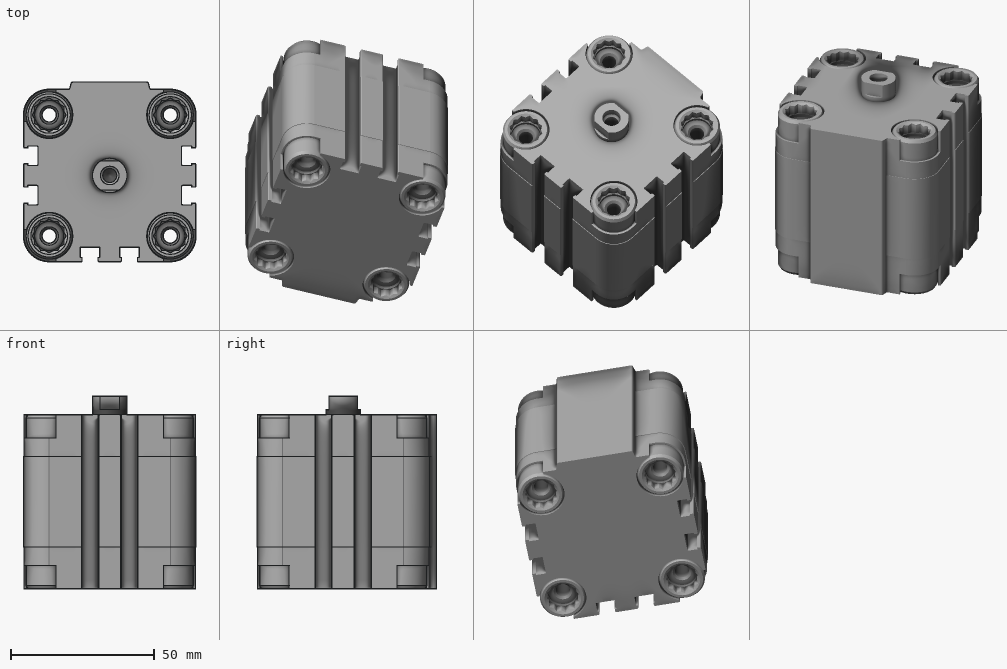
import cadquery as cq
import math

housing_height = 60.5
cap_height = 14.55
tube_height = housing_height - 2 * cap_height

tube_half = 30.0
cap_inset = 0.2
cap_half = tube_half - cap_inset
post_offset = 21.05

back_y = 32.5
pad_top_half = 13.3
pad_foot_half = 14.0
pad_fillet = 0.7

slot_offset = 6.85
slot_mouth_width = 5.5
slot_inner_width = 6.7
slot_floor = 25.0
slot_lip_back = 28.5
slot_lip_chamfer = 0.3
side_slot_fillet = 0.35
side_slot_turns = (90, -90)

pocket_depth = 8.05
pocket_diameter = 16.4
pocket_open_reach = 2.3
post_diameter = 16.0
post_chamfer_width = 0.7
post_chamfer_height = 1.1

star_diameter = 11.7
star_points = 12
star_depth = 3.8
socket_mouth_diameter = 12.7
socket_cone_depth = 0.8
socket_floor_diameter = 10.1
socket_depth = 5.0
bolt_hole_diameter = 4.9
bolt_countersink_diameter = 6.4
bolt_countersink_depth = (bolt_countersink_diameter - bolt_hole_diameter) / 2

rod_diameter = 12.0
rod_protrusion = 6.5
rod_seat_depth = cap_height
rod_flats_width = 10.0
rod_flats_height = 4.7
rod_recess_diameter = 6.4
rod_recess_depth = 2.95
rod_recess_cone_depth = 0.55
rod_bore_diameter = 4.9
rod_bore_depth = 10.05
drill_tip_half_angle = 59.0


def cylinder(diameter, bottom, top):
    return cq.Workplane("XY").workplane(offset=bottom).circle(diameter / 2).extrude(top - bottom)


def cone(bottom_diameter, top_diameter, bottom, top):
    """Cone frustum on the Z axis; a bottom diameter of zero gives a point."""
    profile = [(0, bottom), (bottom_diameter / 2, bottom), (top_diameter / 2, top), (0, top)]
    if bottom_diameter == 0:
        profile.pop(0)
    return cq.Workplane("XZ").polyline(profile).close().revolve(360, (0, 0, 0), (0, 1, 0))


def slot_pair(face, height, floor_fillet):
    """Two T-slots cut into a face at -Y, chamfered at the lip edges."""
    mouth = slot_mouth_width / 2
    inner = slot_inner_width / 2
    right_half = [
        (inner, -slot_floor),
        (inner, -slot_lip_back),
        (mouth, -slot_lip_back),
        (mouth, slot_lip_chamfer - face),
        (mouth + slot_lip_chamfer, -face),
    ]
    left_half = [(-x, y) for x, y in reversed(right_half)]
    slot = cq.Workplane("XY").polyline(right_half + left_half).close().extrude(height)
    if floor_fillet:
        slot = slot.faces(">Y").edges("|Z").fillet(floor_fillet)
    return slot.translate((slot_offset, 0, 0)).union(slot.translate((-slot_offset, 0, 0)))


def housing_section(half, height):
    """Length of housing profile: rounded square, back pad and T-slots."""
    corner_radius = half - post_offset
    section = cq.Workplane("XY").rect(2 * half, 2 * half).extrude(height)
    section = section.edges("|Z").fillet(corner_radius)

    pad_outline = [
        (pad_foot_half, cap_half),
        (pad_top_half, back_y),
        (-pad_top_half, back_y),
        (-pad_foot_half, cap_half),
    ]
    section = section.union(cq.Workplane("XY").polyline(pad_outline).close().extrude(height))
    pad_region = cq.selectors.BoxSelector(
        (-post_offset, cap_half - cap_inset, 0),
        (post_offset, back_y + cap_inset, height),
    )
    section = section.edges("|Z").edges(pad_region).fillet(pad_fillet)

    section = section.cut(slot_pair(half, height, 0))
    for turn in side_slot_turns:
        side_slots = slot_pair(half, height, side_slot_fillet)
        section = section.cut(side_slots.rotate((0, 0, 0), (0, 0, 1), turn))
    return section


def corner_pocket():
    """Material removed around a post in the +X +Y corner, with the post left standing."""
    floor = cap_height - pocket_depth
    opening_size = tube_half - post_offset + pocket_open_reach
    pocket = cylinder(pocket_diameter, floor, cap_height)
    opening = (
        cq.Workplane("XY")
        .workplane(offset=floor)
        .move(-pocket_open_reach, -pocket_open_reach)
        .rect(opening_size, opening_size, centered=False)
        .extrude(pocket_depth)
    )
    chamfer_start = cap_height - post_chamfer_height
    post_top_diameter = post_diameter - 2 * post_chamfer_width
    post = cylinder(post_diameter, floor, chamfer_start)
    post = post.union(cone(post_diameter, post_top_diameter, chamfer_start, cap_height))
    return pocket.union(opening).cut(post)


def star_prism(bottom, top):
    """Twelve-point prism made of two hexagons turned against each other."""
    base = cq.Workplane("XY").workplane(offset=bottom)
    hexagon = base.polygon(star_points // 2, star_diameter).extrude(top - bottom)
    return hexagon.union(hexagon.rotate((0, 0, 0), (0, 0, 1), 360 / star_points))


def post_socket():
    """Stepped bolt hole through a cap with the twelve-point socket at its mouth."""
    floor = cap_height - socket_depth
    cone_bottom = cap_height - socket_cone_depth
    socket = cylinder(bolt_hole_diameter, 0, floor)
    socket = socket.union(
        cone(bolt_hole_diameter, bolt_countersink_diameter, floor - bolt_countersink_depth, floor)
    )
    socket = socket.union(cylinder(socket_floor_diameter, floor, cone_bottom))

    mouth_cone = cone(socket_floor_diameter, socket_mouth_diameter, cone_bottom, cap_height)
    return socket.union(star_prism(cap_height - star_depth, cap_height)).union(mouth_cone)


def make_cap():
    """End cap with its outer face at the top."""
    cap = housing_section(cap_half, cap_height)
    pocket = corner_pocket()
    socket = post_socket()
    for quarter in range(4):
        for cutter in (pocket, socket):
            placed = cutter.translate((post_offset, post_offset, 0))
            cap = cap.cut(placed.rotate((0, 0, 0), (0, 0, 1), 90 * quarter))
    return cap


def make_housing():
    cap = make_cap()
    tube = housing_section(tube_half, tube_height)
    for x in (-post_offset, post_offset):
        for y in (-post_offset, post_offset):
            tube = tube.cut(cylinder(bolt_hole_diameter, 0, tube_height).translate((x, y, 0)))

    top_cap = cap.translate((0, 0, housing_height - cap_height))
    bottom_cap = cap.mirror("XY").translate((0, 0, cap_height))
    housing = tube.translate((0, 0, cap_height)).union(top_cap).union(bottom_cap)
    return housing.cut(cylinder(rod_diameter, housing_height - rod_seat_depth, housing_height))


def make_rod():
    rod_top = housing_height + rod_protrusion
    rod = cylinder(rod_diameter, housing_height - rod_seat_depth, rod_top)

    flats_bottom = rod_top - rod_flats_height
    kept = cq.Workplane("XY").workplane(offset=flats_bottom).rect(rod_diameter, rod_flats_width)
    shaved = cylinder(rod_diameter, flats_bottom, rod_top).cut(kept.extrude(rod_flats_height))
    rod = rod.cut(shaved)

    recess_floor = rod_top - rod_recess_depth
    bore_floor = rod_top - rod_bore_depth
    tip_height = rod_bore_diameter / 2 / math.tan(math.radians(drill_tip_half_angle))
    recess_cone_bottom = recess_floor - rod_recess_cone_depth
    rod = rod.cut(cylinder(rod_recess_diameter, recess_floor, rod_top))
    rod = rod.cut(cone(rod_bore_diameter, rod_recess_diameter, recess_cone_bottom, recess_floor))
    rod = rod.cut(cylinder(rod_bore_diameter, bore_floor, recess_floor))
    return rod.cut(cone(0, rod_bore_diameter, bore_floor - tip_height, bore_floor))


housing = make_housing()
rod = make_rod()
result = cq.Compound.makeCompound([housing.val(), rod.val()])